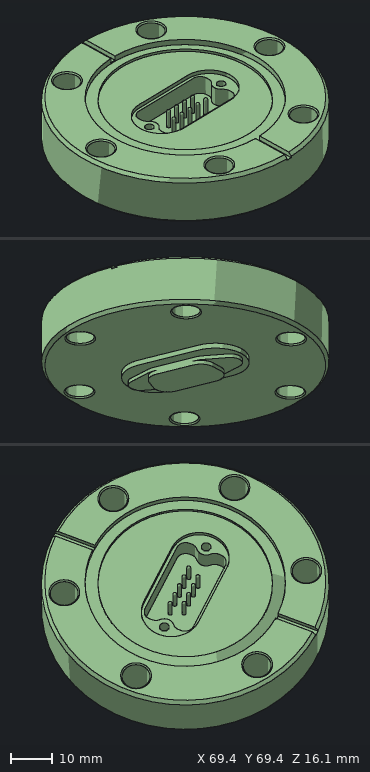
import cadquery as cq
import math

FLANGE_RADIUS = 34.7
FLANGE_HEIGHT = 12.7
RIM_CHAMFER = 0.8

BOLT_COUNT = 6
BOLT_CIRCLE_RADIUS = 29.3
BOLT_HOLE_DIAMETER = 6.7
BOLT_HOLE_CHAMFER = 0.35

RECESS_RADIUS = 24.1
RECESS_DEPTH = 1.5
KNIFE_RADIUS = 21.0
KNIFE_DEPTH = 0.6
FLOOR_DEPTH = 1.3

GROOVE_WIDTH = 1.45
GROOVE_DEPTH = 1.25

SEAT_WIDTH = 14.4
SEAT_LENGTH = 31.1
SEAT_DEPTH = 1.05
CAVITY_WIDTH = 12.75
CAVITY_LENGTH = 23.6
CAVITY_DEPTH = 4.9
LOBE_RADIUS = 2.3
LOBE_INNER_OFFSET = 3.55
SCREW_OFFSET = 12.5
SCREW_HOLE_DIAMETER = 2.3
SCREW_HOLE_DEPTH = 3.5

PIN_DIAMETER = 1.0
PIN_HEIGHT = 4.9
PIN_TIP_FILLET = 0.4
PIN_PITCH = 2.8
PIN_ROW_SPACING = 3.05
LONG_ROW_PINS = 5
SHORT_ROW_PINS = 4

COLLAR_WIDTH = 16.2
COLLAR_LENGTH = 32.9
COLLAR_HEIGHT = 1.3
PLATE_HEIGHT = 1.0
PLATE_EAR_RADIUS = 2.9
PLATE_BODY_RADIUS = 5.2
PLATE_BODY_OFFSET = 5.75
SHELL_HEIGHT = 1.05
SHELL_WIDTH = 2 * PLATE_BODY_RADIUS
SHELL_SHORT_SIDE = 10.25
SHELL_CORNER_RADIUS = 3.75
SHELL_SLANT = math.radians(10)

FLOOR_Z = FLANGE_HEIGHT - FLOOR_DEPTH
LEDGE_Z = FLOOR_Z - SEAT_DEPTH
CAVITY_Z = LEDGE_Z - CAVITY_DEPTH
PLATE_Z = -COLLAR_HEIGHT - PLATE_HEIGHT
SHELL_Z = PLATE_Z - SHELL_HEIGHT


def stadium(length, width, z, height):
    """Round-ended bar along Y, rising from z."""
    return cq.Workplane("XY", origin=(0, 0, z)).slot2D(length, width, 90).extrude(height)


def flange_disc():
    """Revolved disc with chamfered rims, gasket recess and knife edge."""
    inset_radius = FLANGE_RADIUS - RIM_CHAMFER
    profile = [
        (0, 0),
        (inset_radius, 0),
        (FLANGE_RADIUS, RIM_CHAMFER),
        (FLANGE_RADIUS, FLANGE_HEIGHT - RIM_CHAMFER),
        (inset_radius, FLANGE_HEIGHT),
        (RECESS_RADIUS, FLANGE_HEIGHT),
        (RECESS_RADIUS, FLANGE_HEIGHT - RECESS_DEPTH),
        (KNIFE_RADIUS, FLANGE_HEIGHT - KNIFE_DEPTH),
        (KNIFE_RADIUS, FLOOR_Z),
        (0, FLOOR_Z),
    ]
    return cq.Workplane("XZ").polyline(profile).close().revolve(360, (0, 0), (0, 1))


def bolt_holes():
    """Cutters for the bolt holes, flared by a chamfer at both faces."""
    radius = BOLT_HOLE_DIAMETER / 2
    flared_radius = radius + BOLT_HOLE_CHAMFER
    profile = [
        (0, 0),
        (flared_radius, 0),
        (radius, BOLT_HOLE_CHAMFER),
        (radius, FLANGE_HEIGHT - BOLT_HOLE_CHAMFER),
        (flared_radius, FLANGE_HEIGHT),
        (0, FLANGE_HEIGHT),
    ]
    cutter = cq.Workplane("XZ").polyline(profile).close().revolve(360, (0, 0), (0, 1)).val()
    places = cq.Workplane("XY").polarArray(BOLT_CIRCLE_RADIUS, 90, 360, BOLT_COUNT, rotate=False)
    return places.eachpoint(lambda place: cutter.moved(place))


def leak_grooves():
    """Cutter for the groove running from the gasket recess out through both sides of the rim."""
    bar = cq.Workplane("XY", origin=(0, 0, FLANGE_HEIGHT - GROOVE_DEPTH)).box(
        2 * FLANGE_RADIUS, GROOVE_WIDTH, GROOVE_DEPTH, centered=(True, True, False)
    )
    recess = cq.Workplane("XY").circle(RECESS_RADIUS).extrude(FLANGE_HEIGHT)
    return bar.cut(recess)


def cavity():
    """Cavity with round-cornered lobes that curve into a bulge around each screw hole."""
    half_width = CAVITY_WIDTH / 2
    half_length = CAVITY_LENGTH / 2
    corner_x = half_width - LOBE_RADIUS
    lobe_y = half_length - LOBE_RADIUS
    diagonal = LOBE_RADIUS * math.sqrt(0.5)
    mid_x = corner_x + diagonal
    mid_y = lobe_y + diagonal
    centre_gap_y = SCREW_OFFSET - lobe_y
    centre_distance = math.hypot(LOBE_INNER_OFFSET, centre_gap_y)
    bulge_radius = centre_distance - LOBE_RADIUS
    bulge_tip = SCREW_OFFSET - bulge_radius
    meet_x = LOBE_INNER_OFFSET * bulge_radius / centre_distance
    meet_y = SCREW_OFFSET - centre_gap_y * bulge_radius / centre_distance
    outline = cq.Workplane("XY", origin=(0, 0, CAVITY_Z)).moveTo(half_width, -lobe_y)
    for turn in (1, -1):
        outline = (
            outline.lineTo(turn * half_width, turn * lobe_y)
            .threePointArc((turn * mid_x, turn * mid_y), (turn * corner_x, turn * half_length))
            .lineTo(turn * LOBE_INNER_OFFSET, turn * half_length)
            .tangentArcPoint((turn * meet_x, turn * meet_y), relative=False)
            .threePointArc((0, turn * bulge_tip), (-turn * meet_x, turn * meet_y))
            .tangentArcPoint((-turn * LOBE_INNER_OFFSET, turn * half_length), relative=False)
            .lineTo(-turn * corner_x, turn * half_length)
            .threePointArc((-turn * mid_x, turn * mid_y), (-turn * half_width, turn * lobe_y))
        )
    return outline.close().extrude(CAVITY_DEPTH)


def screw_holes():
    """Cutters for the two blind screw holes in the seat ledge."""
    return (
        cq.Workplane("XY", origin=(0, 0, LEDGE_Z))
        .pushPoints([(0, -SCREW_OFFSET), (0, SCREW_OFFSET)])
        .circle(SCREW_HOLE_DIAMETER / 2)
        .extrude(-SCREW_HOLE_DEPTH)
    )


def pin_row(x, count):
    """Row of pins along Y, standing on the cavity floor, with rounded tips."""
    first_y = -(count - 1) * PIN_PITCH / 2
    places = [(x, first_y + i * PIN_PITCH) for i in range(count)]
    return (
        cq.Workplane("XY", origin=(0, 0, CAVITY_Z))
        .pushPoints(places)
        .circle(PIN_DIAMETER / 2)
        .extrude(PIN_HEIGHT)
        .faces(">Z")
        .fillet(PIN_TIP_FILLET)
    )


def mounting_plate():
    """Plate with a wide middle whose sides taper tangentially to a round ear at each end."""
    taper = math.asin((PLATE_BODY_RADIUS - PLATE_EAR_RADIUS) / (SCREW_OFFSET - PLATE_BODY_OFFSET))
    cos_taper = math.cos(taper)
    sin_taper = math.sin(taper)
    body_x = PLATE_BODY_RADIUS * cos_taper
    body_y = PLATE_BODY_OFFSET + PLATE_BODY_RADIUS * sin_taper
    ear_x = PLATE_EAR_RADIUS * cos_taper
    ear_y = SCREW_OFFSET + PLATE_EAR_RADIUS * sin_taper
    ear_tip = SCREW_OFFSET + PLATE_EAR_RADIUS
    mid_x = PLATE_BODY_RADIUS * math.cos(taper / 2)
    mid_y = PLATE_BODY_OFFSET + PLATE_BODY_RADIUS * math.sin(taper / 2)
    outline = cq.Workplane("XY", origin=(0, 0, PLATE_Z)).moveTo(PLATE_BODY_RADIUS, -PLATE_BODY_OFFSET)
    for turn in (1, -1):
        side_x = turn * PLATE_BODY_RADIUS
        side_y = turn * PLATE_BODY_OFFSET
        outline = (
            outline.lineTo(side_x, side_y)
            .threePointArc((turn * mid_x, turn * mid_y), (turn * body_x, turn * body_y))
            .lineTo(turn * ear_x, turn * ear_y)
            .threePointArc((0, turn * ear_tip), (-turn * ear_x, turn * ear_y))
            .lineTo(-turn * body_x, turn * body_y)
            .threePointArc((-turn * mid_x, turn * mid_y), (-side_x, side_y))
        )
    return outline.close().extrude(PLATE_HEIGHT)


def connector_shell():
    """D-shaped shell: trapezoid with its long side at +X and rounded corners."""
    corner_setback = SHELL_CORNER_RADIUS * math.tan((math.pi / 2 - SHELL_SLANT) / 2)
    half_short = SHELL_SHORT_SIDE / 2 + corner_setback
    half_long = half_short + SHELL_WIDTH * math.tan(SHELL_SLANT)
    half_width = SHELL_WIDTH / 2
    corners = [
        (-half_width, -half_short),
        (half_width, -half_long),
        (half_width, half_long),
        (-half_width, half_short),
    ]
    block = cq.Workplane("XY", origin=(0, 0, SHELL_Z)).polyline(corners).close().extrude(SHELL_HEIGHT)
    return block.edges("|Z").fillet(SHELL_CORNER_RADIUS)


body = (
    flange_disc()
    .cut(bolt_holes())
    .cut(leak_grooves())
    .cut(stadium(SEAT_LENGTH, SEAT_WIDTH, LEDGE_Z, SEAT_DEPTH))
    .cut(cavity())
    .cut(screw_holes())
)
result = (
    body.union(pin_row(PIN_ROW_SPACING / 2, LONG_ROW_PINS))
    .union(pin_row(-PIN_ROW_SPACING / 2, SHORT_ROW_PINS))
    .union(stadium(COLLAR_LENGTH, COLLAR_WIDTH, -COLLAR_HEIGHT, COLLAR_HEIGHT))
    .union(mounting_plate())
    .union(connector_shell())
)